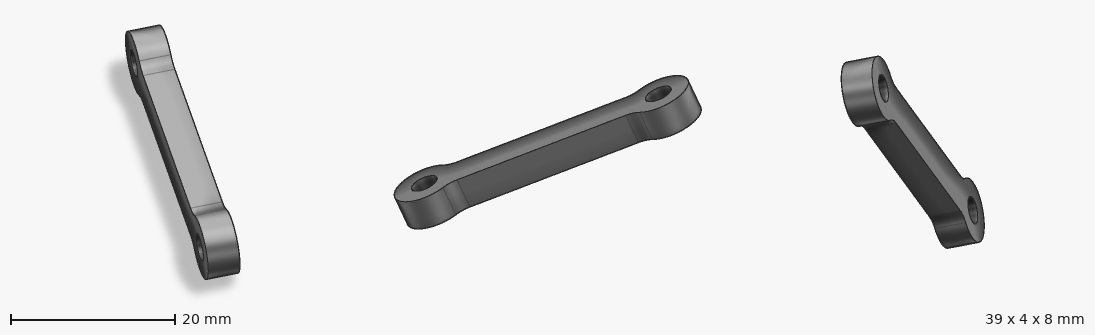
import cadquery as cq
import math

overall_length = 39.0
thickness = 4.0
eye_diameter = 8.0
bar_height = 5.0
hole_diameter = 3.4
blend_radius = 3.0

eye_radius = eye_diameter / 2
bar_half = bar_height / 2
eye_x = overall_length / 2 - eye_radius

blend_center_z = bar_half + blend_radius
center_distance = eye_radius + blend_radius
blend_reach = math.sqrt(center_distance**2 - blend_center_z**2)


def make_eyes(diameter):
    """Two full-thickness cylinders along Y, one at each end of the link."""
    return (
        cq.Workplane("XZ")
        .pushPoints([(-eye_x, 0), (eye_x, 0)])
        .circle(diameter / 2)
        .extrude(thickness / 2, both=True)
    )


def make_neck(side):
    """Flared stub from the eye center to the shank, with concave blends above and below."""
    tangent_fraction = eye_radius / center_distance
    start_x = side * eye_x
    touch_x = side * (eye_x - blend_reach * tangent_fraction)
    touch_z = blend_center_z * tangent_fraction
    shank_x = side * (eye_x - blend_reach)

    half_angle = math.atan2(blend_reach, blend_center_z) / 2
    middle_x = shank_x + side * blend_radius * math.sin(half_angle)
    middle_z = blend_center_z - blend_radius * math.cos(half_angle)

    return (
        cq.Workplane("XZ")
        .moveTo(start_x, 0)
        .lineTo(touch_x, touch_z)
        .threePointArc((middle_x, middle_z), (shank_x, bar_half))
        .lineTo(shank_x, -bar_half)
        .threePointArc((middle_x, -middle_z), (touch_x, -touch_z))
        .close()
        .extrude(thickness / 2, both=True)
    )


shank = cq.Workplane("XY").box(2 * (eye_x - blend_reach), thickness, bar_height)

link = make_eyes(eye_diameter).union(shank)
for side in (-1, 1):
    link = link.union(make_neck(side))

result = link.cut(make_eyes(hole_diameter)).clean()